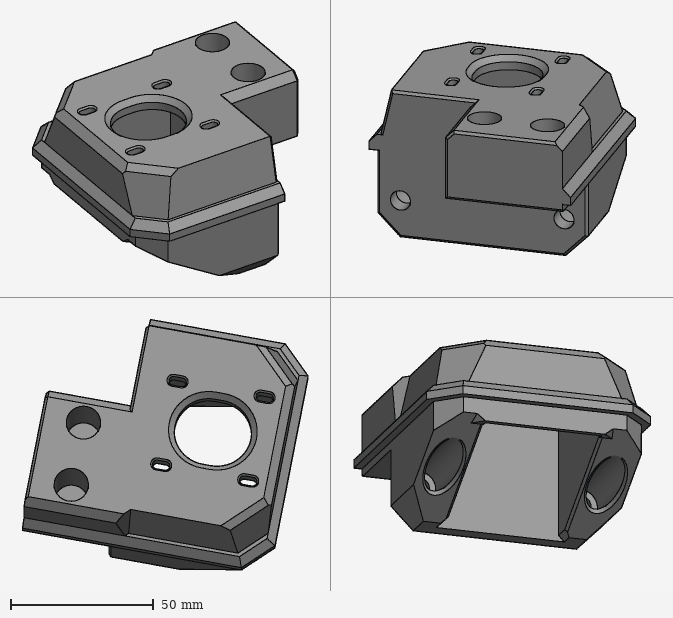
import cadquery as cq
import math

width = 83.0
length = 88.0
height = 55.0
clearance = 17.6

overhang = 3.0
flange_corner = 10.0
flange_bottom = 32.0
flange_edge_top = flange_bottom + overhang
flange_top = flange_edge_top + overhang

half_body = width / 2 - overhang
front = overhang
back = 58.0
body_corner = flange_corner - overhang * (2 - math.sqrt(2))
edge_chamfer = 1.0
bevel = 3.0

arm_right = 4.5
arm_bottom = 29.0
arm_hole_diameter = 12.0
arm_hole_depth = 21.1
arm_hole_x = (-28.5, -5.5)
arm_hole_y = 73.0

lean_bottom = 1.1
lean_top = 5.0
recess_end = 50.95
corner_leg_bottom = 10.2
corner_leg_bevel = 17.0
corner_leg_top = 20.9
corner_bevel_drop = 2.0

slope_heel_y = 46.1
slope_toe_z = 26.4
slope_run = slope_heel_y - front
slope_angle = math.atan2(slope_toe_z, slope_run)
lip_bottom = 24.0
lip_half_width = 22.2
lip_spread = 3.0

motor_y = 28.0
travel = 3.0
pocket_width = 43.0
pocket_back = motor_y + (pocket_width + travel) / 2
pocket_top = 50.0
pocket_slope_chamfer = 1.0
pocket_bottom_chamfer = 2.2
opening_diameter = 24.0
opening_chamfer = 2.0
slot_pitch = 31.0
slot_width = 3.2
slot_chamfer = 0.6

screw_x = 29.9
screw_z = 14.1
screw_diameter = 7.3
head_radius = 12.0 / 2
head_chamfer = 1.0


def polygon_prism(points, bottom, top):
    """Vertical prism over a plan outline."""
    return cq.Workplane("XY").workplane(offset=bottom).polyline(points).close().extrude(top - bottom)


def ruled_prism(lower, bottom, upper, top):
    """Solid with flat sides between two plan outlines at different heights."""
    base = cq.Workplane("XY").workplane(offset=bottom).polyline(lower).close()
    return base.workplane(offset=top - bottom).polyline(upper).close().loft(ruled=True)


def along_y(points, start, end):
    """Prism along Y over an outline of (x, z) points."""
    return cq.Workplane("XZ", origin=(0, start, 0)).polyline(points).close().extrude(start - end)


def along_x(points):
    """Prism along X, wider than the part, over an outline of (y, z) points."""
    return cq.Workplane("YZ").polyline(points).close().extrude(width, both=True)


def mirror_x(shape):
    return shape.mirror("YZ")


def housing_outline():
    return [
        (-half_body, back),
        (-half_body, front + body_corner),
        (-half_body + body_corner, front),
        (half_body - body_corner, front),
        (half_body, front + body_corner),
        (half_body, back),
    ]


def flange_outline(inset):
    """Flange outline, inset on the free sides only; the rear ends stay flush."""
    side = width / 2 - inset
    corner = flange_corner - inset * (2 - math.sqrt(2))
    return [
        (-side, length),
        (-side, inset + corner),
        (-side + corner, inset),
        (side - corner, inset),
        (side, inset + corner),
        (side, back),
        (0, back),
        (0, length),
    ]


def flange():
    rim = polygon_prism(flange_outline(0), flange_bottom, flange_edge_top)
    shoulder = ruled_prism(flange_outline(0), flange_edge_top, flange_outline(overhang), flange_top)
    return rim.union(shoulder)


def lean_cutter(end):
    """Removes the outside of the left leaning face; it stops at end with a 45 degree plan face."""
    def outline(inset):
        x = -half_body + inset
        return [
            (x, -clearance),
            (x, end),
            (x - clearance, end + clearance),
            (x - clearance, -clearance),
        ]

    return ruled_prism(outline(lean_bottom), flange_top, outline(lean_top), height)


def corner_cutter():
    """Removes the outside of the left front corner and of the bevel above it."""
    def outline(leg):
        return [
            (-half_body - clearance, front - clearance),
            (-half_body + leg + clearance, front - clearance),
            (-half_body - clearance, front + leg + clearance),
        ]

    bevel_start = height - corner_bevel_drop
    lower = ruled_prism(outline(corner_leg_bottom), flange_top, outline(corner_leg_bevel), bevel_start)
    upper = ruled_prism(outline(corner_leg_bevel), bevel_start, outline(corner_leg_top), height)
    return lower.union(upper)


def lower_housing():
    block = polygon_prism(housing_outline(), 0, flange_top)
    keel = [
        (-half_body, flange_top),
        (-half_body, body_corner),
        (-half_body + body_corner, 0),
        (half_body - body_corner, 0),
        (half_body, body_corner),
        (half_body, flange_top),
    ]
    block = block.intersect(along_y(keel, 0, back))
    block = block.faces(">Y").edges("not >Z").chamfer(edge_chamfer)
    under_slope = [
        (slope_heel_y, 0),
        (front, slope_toe_z),
        (front - clearance, slope_toe_z),
        (front - clearance, -clearance),
        (slope_heel_y, -clearance),
    ]
    return block.cut(along_x(under_slope)).union(front_lip())


def front_lip():
    depth = slope_run * (1 - lip_bottom / slope_toe_z)

    def outline(spread):
        half = lip_half_width + spread
        return [
            (-half, front),
            (half, front),
            (half + depth, front + depth),
            (-half - depth, front + depth),
        ]

    return ruled_prism(outline(0), lip_bottom, outline(lip_spread), slope_toe_z)


def arm():
    """Arm with bevelled top edges; only its left rear edges stay sharp."""
    profile = [
        (-half_body, arm_bottom),
        (-half_body, height - bevel),
        (-half_body + bevel, height),
        (arm_right - bevel, height),
        (arm_right, height - bevel),
        (arm_right, arm_bottom),
    ]
    bar = along_y(profile, motor_y, length)
    return bar.faces(">Y").edges("not (>>X[0] or >>X[1])").chamfer(edge_chamfer)


def upper_body():
    block = polygon_prism(housing_outline(), flange_top, height)
    sides = lean_cutter(length)
    block = block.cut(sides).cut(mirror_x(sides))
    block = block.faces(">Y").edges(">Z or >X").chamfer(edge_chamfer)
    body = block.union(arm()).cut(lean_cutter(recess_end))
    corner = corner_cutter()
    front_bevel = [
        (front, height - bevel),
        (front + bevel, height),
        (front, height + bevel),
    ]
    return body.cut(corner).cut(mirror_x(corner)).cut(along_x(front_bevel))


def motor_pocket():
    half = pocket_width / 2
    depth = pocket_width + travel
    pocket = cq.Workplane("XY").box(pocket_width, depth, pocket_top, centered=(True, True, False))
    pocket = pocket.translate((0, motor_y, 0))

    flat = half + pocket_bottom_chamfer
    flat_section = [(-flat, 0), (flat, 0), (half, pocket_bottom_chamfer), (-half, pocket_bottom_chamfer)]
    pocket = pocket.union(along_y(flat_section, motor_y, pocket_back))

    wide = half + pocket_slope_chamfer
    slope_section = [(-wide, 0), (wide, 0), (half, pocket_slope_chamfer), (-half, pocket_slope_chamfer)]
    uphill = cq.Vector(0, -math.cos(slope_angle), math.sin(slope_angle))
    slope_plane = cq.Plane((0, slope_heel_y, 0), xDir=(1, 0, 0), normal=uphill)
    run = lip_bottom / math.sin(slope_angle)
    return pocket.union(cq.Workplane(slope_plane).polyline(slope_section).close().extrude(run))


def chamfered_slot(x, y, slot, chamfer):
    """Slot of the given width through the top plate, stretched along Y by the travel."""
    def outline(size):
        return cq.Workplane("XY", origin=(x, y, height)).slot2D(size + travel, size, 90)

    through = outline(slot).extrude(pocket_top - height)
    return through.union(outline(slot + 2 * chamfer).extrude(-chamfer, taper=45))


def screw_head_chamfer(x):
    """Chamfer where the head bore meets the slope, wider where the two meet at a sharp angle.

    Its rims are where a ball of radius head_chamfer, rolling inside the material along
    the edge, touches the slope and the bore. Both rims are flat ellipses.
    """
    outer_radius = head_radius + head_chamfer
    ratio = slope_run / slope_toe_z

    rim_z = screw_z - head_chamfer * math.cos(slope_angle)
    rim_y = slope_heel_y - rim_z * ratio
    bore_y = slope_heel_y - screw_z * ratio + head_chamfer / math.sin(slope_angle)
    bore_ratio = ratio * outer_radius / head_radius

    def ellipse(radius, y, z, y_per_z):
        stretch = math.hypot(1, y_per_z)
        edge = cq.Edge.makeEllipse(
            radius * stretch, radius, cq.Vector(x, y, z),
            dir=cq.Vector(0, 1, y_per_z), xdir=cq.Vector(0, -y_per_z, 1))
        return cq.Wire.assembleEdges([edge])

    rims = [ellipse(outer_radius, rim_y, rim_z, ratio), ellipse(head_radius, bore_y, screw_z, bore_ratio)]
    return cq.Workplane(cq.Solid.makeLoft(rims, True))


def screw_bore(x):
    """Clearance hole with a flat seat for the screw head, level with the pocket's rear wall."""
    start = cq.Workplane("XZ", origin=(x, 0, screw_z))
    through = start.circle(screw_diameter / 2).extrude(-length)
    head = start.circle(head_radius).extrude(-pocket_back)
    return through.union(head)


def arm_hole(x):
    start = cq.Workplane("XY", origin=(x, arm_hole_y, height))
    return start.circle(arm_hole_diameter / 2).extrude(-arm_hole_depth)


part = lower_housing().union(upper_body()).union(flange())
part = part.cut(motor_pocket())
part = part.cut(chamfered_slot(0, motor_y, opening_diameter, opening_chamfer))
for side_x in (-1, 1):
    part = part.cut(screw_bore(side_x * screw_x)).cut(screw_head_chamfer(side_x * screw_x))
    slot_x = side_x * slot_pitch / 2
    for side_y in (-1, 1):
        slot_y = motor_y + side_y * slot_pitch / 2
        part = part.cut(chamfered_slot(slot_x, slot_y, slot_width, slot_chamfer))
for hole_x in arm_hole_x:
    part = part.cut(arm_hole(hole_x))

result = part.solids()